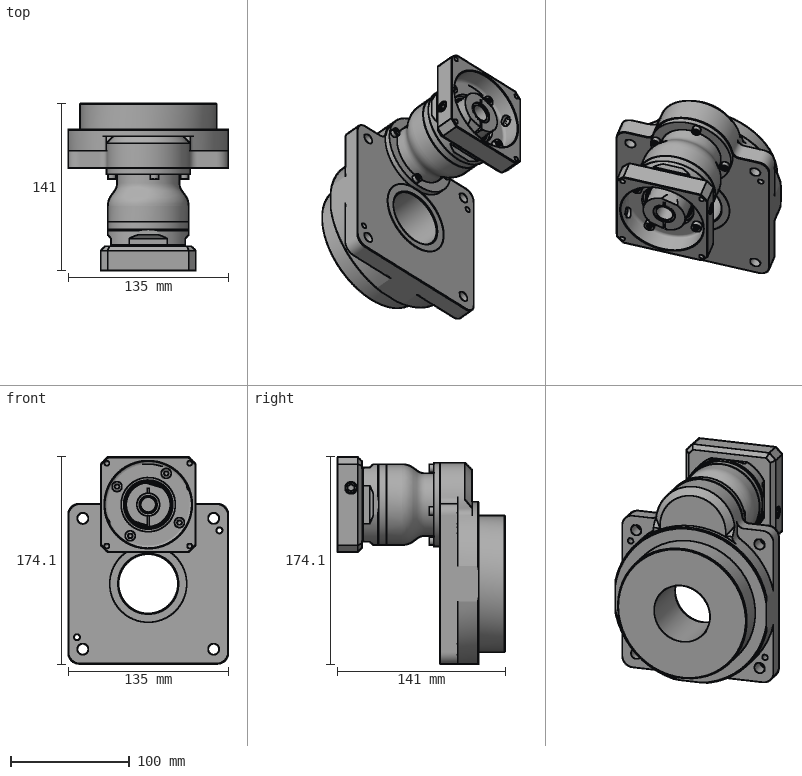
import cadquery as cq
import math


OVERALL_HEIGHT = 174.1
PLATE_SIDE = 135.0
ADAPTER_SIDE = 80.0

PLATE_BACK = 15.0
PLATE_CORNER_RADIUS = 9.5
PLATE_EDGE_CHAMFER = 0.5
DRUM_RADIUS = 69.1
DRUM_BACK = 32.9
DRUM_CHAMFER = 1.0
DISC_RADIUS = 57.6
DISC_BACK = 54.8
DISC_CHAMFER = 0.9
BORE_RADIUS = 24.9
BORE_CHAMFER = 0.7
HUB_RING_RADIUS = 32.4
HUB_RING_RECESS = 0.5
MOUNT_HOLE_OFFSET = 55.0
MOUNT_HOLE_RADIUS = 4.5
DOWEL_HOLE_X = 59.9
DOWEL_HOLE_Z = 45.0
DOWEL_HOLE_RADIUS = 2.5

GEAR_AXIS_Z = OVERALL_HEIGHT - PLATE_SIDE / 2 - ADAPTER_SIDE / 2
BOSS_RADIUS = 35.3
BOSS_BACK = 27.2
BOSS_CHAMFER = 6.1
BOSS_BLEND_RADIUS = 6.3
BOSS_RAMP_TOP = 70.9
BOSS_RAMP_DROP = 7.3

FLANGE_RADIUS = BOSS_RADIUS
FLANGE_FRONT = 5.0
NECK_RADIUS = 26.5
NECK_FRONT = 12.9
CASE_RADIUS = 34.1
GROOVE_START = 44.7
GROOVE_WIDTH = 0.3
GROOVE_DEPTH = 0.2
SHOULDER_ANGLE = math.radians(35)
SHOULDER_HOLLOW_RADIUS = 10.1
SHOULDER_ROUND_RADIUS = 15.5
CASE_START = 31.7
COLLAR_START = 51.4
COLLAR_RADIUS = 35.2
COLLAR_FLAT_END = 55.9
COLLAR_NARROW_START = 59.0
COLLAR_NARROW_HALF = 31.3
COLLAR_FRONT = 64.5
SPIGOT_RADIUS = 30.5

FLANGE_SCREW_CIRCLE = 31.0
FLANGE_SCREW_ANGLE = 80
FLANGE_SCREW_RADIUS = 3.5
FLANGE_SCREW_HEIGHT = 4.0
FLANGE_SOCKET_WIDTH = 3.3
ADAPTER_SCREW_CIRCLE = 30.3
ADAPTER_SCREW_ANGLE = 60
ADAPTER_SCREW_RADIUS = 4.2
ADAPTER_SCREW_HEIGHT = 4.2
ADAPTER_SOCKET_WIDTH = 3.8
SOCKET_DEPTH = 2.1
DRILL_TIP_HALF_ANGLE = math.radians(59)
SCREW_COUNT = 4

ADAPTER_BACK = 65.5
ADAPTER_FRONT = 86.2
ADAPTER_CORNER = 6.0
ADAPTER_BACK_CHAMFER = 3.7
ADAPTER_FRONT_CHAMFER = 0.5
ADAPTER_HOLE_OFFSET = 34.8
ADAPTER_HOLE_RADIUS = 2.1
ADAPTER_HOLE_DEPTH = 10.5
POCKET_RADIUS = 36.5
POCKET_DEPTH = 16.4
POCKET_FILLET = 2.5
POCKET_LIP_CHAMFER = 0.5
HUB_CLEARANCE_RADIUS = 22.8
HUB_CLEARANCE_DEPTH = 20.0
HUB_WELL_RADIUS = 19.8
HUB_WELL_CHAMFER = 0.9
HUB_WELL_DEPTH = 24.4
ACCESS_HOLE_RADIUS = 4.4
ACCESS_HOLE_CHAMFER = 0.7
ACCESS_HOLE_FRONT = 74.7
ACCESS_HOLE_OFFSET = 14.1
PLUG_LENGTH = 4.4
PLUG_SOCKET_WIDTH = 5.2
PLUG_SOCKET_DEPTH = 3.3

CLAMP_RADIUS = 18.5
CLAMP_FRONT = 80.0
CLAMP_FLAT_OFFSET = 16.9
CLAMP_FLAT_LENGTH = 8.7
CLAMP_FLAT_ANGLE = 73
SLEEVE_RADIUS = 9.5
SLEEVE_RECESS = 1.0
SHAFT_BORE_RADIUS = 7.5
SHAFT_BORE_DEPTH = 17.4
SHAFT_TIP_RADIUS = 6.3
SHAFT_TIP_DEPTH = 18.3
SLOT_WIDTH = 1.7
SLOT_TOP = 13.8
SLOT_DEPTH = 14.0


def plane(front, z=0.0):
    """Sketch plane facing -Y, at a distance in front of the mounting face; sketch axes are X and Z."""
    return cq.Workplane("XZ", origin=(0, -front, z))


def cylinder(radius, back, front, z=0.0):
    """Cylinder along Y between two distances in front of the mounting face."""
    return plane(back, z).circle(radius).extrude(front - back)


def corners(offset):
    return [(x, z) for x in (-offset, offset) for z in (-offset, offset)]


def circle_points(radius, first_angle):
    angles = [math.radians(first_angle + i * 360 / SCREW_COUNT) for i in range(SCREW_COUNT)]
    return [(radius * math.cos(a), radius * math.sin(a)) for a in angles]


def toward(start, end, distance):
    """Point at a distance from start, in the direction of end."""
    length = math.dist(start, end)
    return tuple(s + (e - s) * distance / length for s, e in zip(start, end))


def blend(side, center, floor, back, front):
    """Hollow fillet that fills the corner between the boss and the surface it rises from."""
    boss_axis = (0, GEAR_AXIS_Z)
    on_boss = toward(boss_axis, center, BOSS_RADIUS)
    middle = tuple((a + b) / 2 for a, b in zip(on_boss, floor))
    on_arc = toward(center, middle, BOSS_BLEND_RADIUS)
    inner = (on_boss[0] - BOSS_BLEND_RADIUS, floor[1] - BOSS_BLEND_RADIUS)
    points = [(side * x, z) for x, z in (floor, on_arc, on_boss, inner)]
    return (
        plane(back)
        .moveTo(*points[0])
        .threePointArc(points[1], points[2])
        .lineTo(*points[3])
        .close()
        .extrude(front - back)
    )


def plate_blend(side):
    """Fillet between the boss and the top edge of the plate."""
    top = PLATE_SIDE / 2
    center_z = top + BOSS_BLEND_RADIUS
    reach = BOSS_RADIUS + BOSS_BLEND_RADIUS
    center_x = math.sqrt(reach**2 - (center_z - GEAR_AXIS_Z) ** 2)
    return blend(side, (center_x, center_z), (center_x, top), -PLATE_BACK, 0)


def drum_blend(side):
    """Fillet between the boss and the drum."""
    drum_reach = DRUM_RADIUS + BOSS_BLEND_RADIUS
    boss_reach = BOSS_RADIUS + BOSS_BLEND_RADIUS
    center_z = (drum_reach**2 - boss_reach**2 + GEAR_AXIS_Z**2) / (2 * GEAR_AXIS_Z)
    center = (math.sqrt(drum_reach**2 - center_z**2), center_z)
    return blend(side, center, toward((0, 0), center, DRUM_RADIUS), -BOSS_BACK, 0)


def boss_ramp():
    """Lower part of the boss, where a sloping face ends the chamfer above the drum."""
    ramp_start = BOSS_BACK - BOSS_CHAMFER
    outline = [(0, 0), (0, BOSS_RAMP_TOP), (ramp_start, BOSS_RAMP_TOP)]
    outline += [(BOSS_BACK, BOSS_RAMP_TOP - BOSS_RAMP_DROP), (BOSS_BACK, 0)]
    below_ramp = cq.Workplane("YZ").polyline(outline).close().extrude(BOSS_RADIUS, both=True)
    return cylinder(BOSS_RADIUS, -BOSS_BACK, 0, GEAR_AXIS_Z).intersect(below_ramp)


def make_table():
    plate = plane(-PLATE_BACK).rect(PLATE_SIDE, PLATE_SIDE).extrude(PLATE_BACK)
    plate = plate.edges("|Y").fillet(PLATE_CORNER_RADIUS)

    drum = cylinder(DRUM_RADIUS, -DRUM_BACK, 0).faces(">Y").chamfer(DRUM_CHAMFER)
    limit = plane(-DRUM_BACK, PLATE_SIDE / 2).rect(PLATE_SIDE, 2 * PLATE_SIDE).extrude(DRUM_BACK)
    drum = drum.intersect(limit)

    disc = cylinder(DISC_RADIUS, -DISC_BACK, -DRUM_BACK).faces(">Y").chamfer(DISC_CHAMFER)
    boss = cylinder(BOSS_RADIUS, -BOSS_BACK, 0, GEAR_AXIS_Z).faces(">Y").chamfer(BOSS_CHAMFER)

    table = plate.union(drum).union(boss).union(boss_ramp())
    for side in (-1, 1):
        table = table.union(plate_blend(side)).union(drum_blend(side))
    table = table.faces("<Y").chamfer(PLATE_EDGE_CHAMFER)
    table = table.union(disc)

    table = table.cut(cylinder(HUB_RING_RADIUS, -HUB_RING_RECESS, 0))
    table = table.cut(cylinder(BORE_RADIUS, -DISC_BACK, 0))
    bore_edge = plane(-HUB_RING_RECESS).circle(BORE_RADIUS + BORE_CHAMFER)
    table = table.cut(bore_edge.extrude(-BORE_CHAMFER, taper=45))

    mount_holes = plane(0).pushPoints(corners(MOUNT_HOLE_OFFSET)).circle(MOUNT_HOLE_RADIUS)
    dowel_points = [(DOWEL_HOLE_X, DOWEL_HOLE_Z), (-DOWEL_HOLE_X, -DOWEL_HOLE_Z)]
    dowel_holes = plane(0).pushPoints(dowel_points).circle(DOWEL_HOLE_RADIUS)
    return table.cut(mount_holes.extrude(-PLATE_BACK)).cut(dowel_holes.extrude(-PLATE_BACK))


def make_case():
    """Turned case: flange, neck, S-shaped shoulder and main cylinder."""
    sine = math.sin(SHOULDER_ANGLE)
    cosine = math.cos(SHOULDER_ANGLE)
    half_sine = math.sin(SHOULDER_ANGLE / 2)
    half_cosine = math.cos(SHOULDER_ANGLE / 2)

    def hollow_point(s, c):
        return (NECK_RADIUS + SHOULDER_HOLLOW_RADIUS * (1 - c), -NECK_FRONT - SHOULDER_HOLLOW_RADIUS * s)

    def round_point(s, c):
        return (CASE_RADIUS - SHOULDER_ROUND_RADIUS * (1 - c), -CASE_START + SHOULDER_ROUND_RADIUS * s)

    profile = (
        cq.Workplane("XY")
        .lineTo(FLANGE_RADIUS, 0)
        .lineTo(FLANGE_RADIUS, -FLANGE_FRONT)
        .lineTo(NECK_RADIUS, -FLANGE_FRONT)
        .lineTo(NECK_RADIUS, -NECK_FRONT)
        .threePointArc(hollow_point(half_sine, half_cosine), hollow_point(sine, cosine))
        .lineTo(*round_point(sine, cosine))
        .threePointArc(round_point(half_sine, half_cosine), (CASE_RADIUS, -CASE_START))
        .lineTo(CASE_RADIUS, -GROOVE_START)
        .lineTo(CASE_RADIUS - GROOVE_DEPTH, -GROOVE_START)
        .lineTo(CASE_RADIUS - GROOVE_DEPTH, -GROOVE_START - GROOVE_WIDTH)
        .lineTo(CASE_RADIUS, -GROOVE_START - GROOVE_WIDTH)
        .lineTo(CASE_RADIUS, -COLLAR_START)
        .lineTo(0, -COLLAR_START)
        .close()
    )
    return profile.revolve(360, (0, 0, 0), (0, 1, 0)).translate((0, 0, GEAR_AXIS_Z))


def make_collar():
    """Round collar with four flats that step inward toward the adapter."""
    collar = cylinder(COLLAR_RADIUS, COLLAR_START, COLLAR_FRONT, GEAR_AXIS_Z)
    collar = collar.faces(">Y").chamfer(COLLAR_RADIUS - CASE_RADIUS)
    outline = [
        (0, -COLLAR_START),
        (CASE_RADIUS, -COLLAR_START),
        (CASE_RADIUS, -COLLAR_FLAT_END),
        (COLLAR_NARROW_HALF, -COLLAR_NARROW_START),
        (COLLAR_NARROW_HALF, -COLLAR_FRONT),
        (0, -COLLAR_FRONT),
    ]
    half = cq.Workplane("XY").polyline(outline).close().extrude(COLLAR_RADIUS, both=True)
    slab = half.union(half.mirror("YZ"))
    crossed_slab = slab.rotate((0, 0, 0), (0, 1, 0), 90)
    limit = slab.intersect(crossed_slab).translate((0, 0, GEAR_AXIS_Z))
    spigot = cylinder(SPIGOT_RADIUS, COLLAR_FRONT, ADAPTER_BACK, GEAR_AXIS_Z)
    return collar.intersect(limit).union(spigot)


def make_adapter():
    adapter = plane(ADAPTER_BACK, GEAR_AXIS_Z).rect(ADAPTER_SIDE, ADAPTER_SIDE)
    adapter = adapter.extrude(ADAPTER_FRONT - ADAPTER_BACK)
    adapter = adapter.edges("|Y").chamfer(ADAPTER_CORNER)
    adapter = adapter.faces(">Y").chamfer(ADAPTER_BACK_CHAMFER)
    return adapter.faces("<Y").chamfer(ADAPTER_FRONT_CHAMFER)


def drill_tips(points, radius, front):
    """Conical hole bottoms that start at a distance in front of the mounting face."""
    length = radius / math.tan(DRILL_TIP_HALF_ANGLE)
    places = [cq.Vector(x, -front, GEAR_AXIS_Z + z) for x, z in points]
    tips = [cq.Solid.makeCone(radius, 0, length, place, cq.Vector(0, 1, 0)) for place in places]
    return cq.Workplane("XY").newObject(tips).combine()


def adapter_cuts():
    """Pocket, hub clearance and blind corner holes."""
    floor = ADAPTER_FRONT - POCKET_DEPTH
    clearance_back = ADAPTER_FRONT - HUB_CLEARANCE_DEPTH
    well_back = ADAPTER_FRONT - HUB_WELL_DEPTH
    pocket = cylinder(POCKET_RADIUS, floor, ADAPTER_FRONT, GEAR_AXIS_Z)
    pocket = pocket.faces(">Y").edges().fillet(POCKET_FILLET)
    lip = plane(ADAPTER_FRONT, GEAR_AXIS_Z).circle(POCKET_RADIUS + POCKET_LIP_CHAMFER)
    lip = lip.extrude(-POCKET_LIP_CHAMFER, taper=45)
    clearance = cylinder(HUB_CLEARANCE_RADIUS, clearance_back, floor, GEAR_AXIS_Z)
    well = cylinder(HUB_WELL_RADIUS, well_back, clearance_back, GEAR_AXIS_Z)
    well_rim = plane(clearance_back, GEAR_AXIS_Z).circle(HUB_WELL_RADIUS + HUB_WELL_CHAMFER)
    well = well.union(well_rim.extrude(-HUB_WELL_CHAMFER, taper=45))

    hole_points = corners(ADAPTER_HOLE_OFFSET)
    hole_end = ADAPTER_FRONT - ADAPTER_HOLE_DEPTH
    holes = plane(hole_end, GEAR_AXIS_Z).pushPoints(hole_points).circle(ADAPTER_HOLE_RADIUS)
    holes = holes.extrude(ADAPTER_HOLE_DEPTH).union(drill_tips(hole_points, ADAPTER_HOLE_RADIUS, hole_end))
    return pocket.union(lip).union(clearance).union(well).union(holes)


def access_plane(side):
    """Sketch plane on one side of the adapter, at the access hole; opposite holes are half a turn apart."""
    z = GEAR_AXIS_Z + side * ACCESS_HOLE_OFFSET
    return cq.Workplane("YZ", origin=(side * ADAPTER_SIDE / 2, -ACCESS_HOLE_FRONT, z))


def access_hole(side):
    hole = access_plane(side).circle(ACCESS_HOLE_RADIUS).extrude(-side * ADAPTER_SIDE / 4)
    rim = access_plane(side).circle(ACCESS_HOLE_RADIUS + ACCESS_HOLE_CHAMFER)
    return hole.union(rim.extrude(-side * ACCESS_HOLE_CHAMFER, taper=45))


def access_plug(side):
    """Plug with a hexagon socket, set below the chamfer of the access hole."""
    seat = access_plane(side).workplane(offset=-side * ACCESS_HOLE_CHAMFER)
    plug = seat.circle(ACCESS_HOLE_RADIUS).extrude(-side * PLUG_LENGTH)
    socket = seat.transformed(rotate=(0, 0, 90)).polygon(6, PLUG_SOCKET_WIDTH / math.cos(math.pi / 6))
    return plug.cut(socket.extrude(-side * PLUG_SOCKET_DEPTH))


def clamp_flat_cut():
    """Wedge that leaves a flat sloping from the front face of the hub out to its side."""
    outline = [
        (CLAMP_FLAT_OFFSET, -CLAMP_FRONT),
        (CLAMP_RADIUS, CLAMP_FLAT_LENGTH - CLAMP_FRONT),
        (2 * CLAMP_RADIUS, CLAMP_FLAT_LENGTH - CLAMP_FRONT),
        (2 * CLAMP_RADIUS, -CLAMP_FRONT),
    ]
    return cq.Workplane("XY").polyline(outline).close().extrude(CLAMP_RADIUS, both=True)


def make_clamp_hub():
    back = ADAPTER_FRONT - HUB_WELL_DEPTH
    hub = cylinder(CLAMP_RADIUS, back, CLAMP_FRONT)
    for angle in (CLAMP_FLAT_ANGLE, CLAMP_FLAT_ANGLE + 180):
        hub = hub.cut(clamp_flat_cut().rotate((0, 0, 0), (0, 1, 0), -angle))

    face = plane(CLAMP_FRONT)
    slot_length = SLOT_TOP + CLAMP_RADIUS
    slot = face.center(0, SLOT_TOP - slot_length / 2).rect(SLOT_WIDTH, slot_length).extrude(-SLOT_DEPTH)
    seat = face.circle(SLEEVE_RADIUS).extrude(-SLOT_DEPTH)
    sleeve = cylinder(SLEEVE_RADIUS, CLAMP_FRONT - SLOT_DEPTH, CLAMP_FRONT - SLEEVE_RECESS)
    bore = face.circle(SHAFT_BORE_RADIUS).extrude(-SHAFT_BORE_DEPTH)
    tip = face.circle(SHAFT_TIP_RADIUS).extrude(-SHAFT_TIP_DEPTH)
    hub = hub.cut(slot).cut(seat).union(sleeve).cut(bore).cut(tip)
    return hub.translate((0, 0, GEAR_AXIS_Z))


def screw_heads(points, base, radius, height, socket_width):
    """Cylindrical heads with hexagon sockets that end in a drill tip."""
    socket_end = base + height - SOCKET_DEPTH
    socket_diameter = socket_width / math.cos(math.pi / 6)
    heads = plane(base, GEAR_AXIS_Z).pushPoints(points).circle(radius).extrude(height)
    sockets = plane(socket_end, GEAR_AXIS_Z).pushPoints(points).polygon(6, socket_diameter)
    return heads.cut(sockets.extrude(SOCKET_DEPTH)).cut(drill_tips(points, socket_width / 2, socket_end))


def make_gearbox():
    flange_screws = screw_heads(
        circle_points(FLANGE_SCREW_CIRCLE, FLANGE_SCREW_ANGLE),
        FLANGE_FRONT,
        FLANGE_SCREW_RADIUS,
        FLANGE_SCREW_HEIGHT,
        FLANGE_SOCKET_WIDTH,
    )
    adapter_screws = screw_heads(
        circle_points(ADAPTER_SCREW_CIRCLE, ADAPTER_SCREW_ANGLE),
        ADAPTER_FRONT - POCKET_DEPTH,
        ADAPTER_SCREW_RADIUS,
        ADAPTER_SCREW_HEIGHT,
        ADAPTER_SOCKET_WIDTH,
    )
    gearbox = make_case().union(make_collar()).union(make_adapter()).cut(adapter_cuts())
    for side in (-1, 1):
        gearbox = gearbox.cut(access_hole(side)).union(access_plug(side))
    return gearbox.union(make_clamp_hub()).union(flange_screws).union(adapter_screws)


table = make_table()
gearbox = make_gearbox()
result = cq.Compound.makeCompound([table.val(), gearbox.val()])